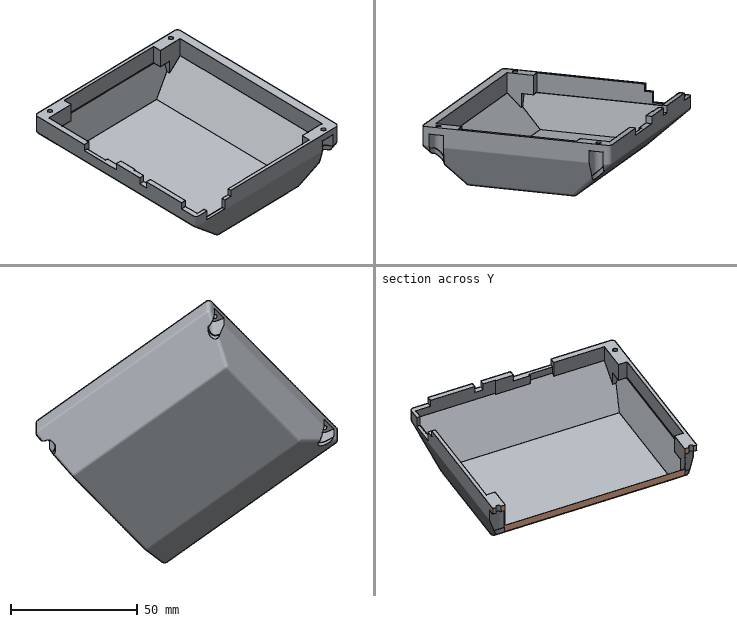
import cadquery as cq
import math

length = 90.0
width = 80.0
height = 24.0
half_length = length / 2
half_width = width / 2
rim_depth = 8.1
base_half_length = 40.0
base_half_width = 22.7
edge_radius = 1.5

floor_depth = 21.6
floor_half_length = 38.3
floor_half_width = 21.6
ledge_depth = 8.0
ledge_half_length = 43.1
side_wall = 1.5
inner_half_length = half_length - side_wall
back_wall = 4.0
front_wall = 2.5
front_wall_right = 2.2
thin_wall_start = 8.4

screw_corners = [(-1, -1), (-1, 1), (1, 1)]
block_length = 5.4
block_width = 15.0
post_width = 9.9
hole_diameter = 2.0
hole_x = 42.6
hole_y = 33.8
slot_x = 42.3
slot_radius = 2.2
slot_shell_radius = 2.3
slot_shell_height = 2.3
slot_mouth = 5.9

notch_depth = 3.0
front_notches = [(-17.3, 0.5), (13.7, 17.4), (37.0, half_length)]
side_notch_end = -20.5
deep_notch_start = -33.8
deep_notch_end = -23.85
deep_notch_depth = 7.4
recess_start = front_notches[0][0]
recess_end = -6.9


def box(x_start, x_end, y_start, y_end, depth):
    """Block between the given sides, reaching from the rim down to depth."""
    size = (x_end - x_start, y_end - y_start, depth)
    return cq.Workplane("XY").box(*size, centered=False).translate((x_start, y_start, -depth))


def symmetric_prism(plane, half_profile, half_span):
    """Extrude a profile mirrored about Z both ways from its plane."""
    mirrored = [(-u, z) for u, z in reversed(half_profile)]
    return cq.Workplane(plane).polyline(half_profile + mirrored).close().extrude(half_span, both=True)


def outer_body():
    lengthwise = [(half_length, 0), (half_length, -rim_depth), (base_half_length, -height)]
    crosswise = [(half_width, 0), (half_width, -rim_depth), (base_half_width, -height)]
    body = symmetric_prism("XZ", lengthwise, half_width)
    body = body.intersect(symmetric_prism("YZ", crosswise, half_length))
    return body.edges("not(>Z)").fillet(edge_radius)


def cavity():
    lengthwise = [
        (inner_half_length, 0),
        (inner_half_length, -ledge_depth),
        (ledge_half_length, -ledge_depth),
        (floor_half_length, -floor_depth),
    ]
    slope = (half_width - base_half_width) / (height - rim_depth)
    crosswise = [(floor_half_width + slope * floor_depth, 0), (floor_half_width, -floor_depth)]
    hollow = symmetric_prism("XZ", lengthwise, half_width)
    hollow = hollow.intersect(symmetric_prism("YZ", crosswise, half_length))

    outline = box(-half_length, thin_wall_start, front_wall - half_width, half_width - back_wall, height)
    outline = outline.union(
        box(thin_wall_start, half_length, front_wall_right - half_width, half_width - back_wall, height)
    )
    outline = outline.union(box(recess_start, recess_end, side_wall - half_width, 0, height))
    for x_sign, y_sign in screw_corners:
        outline = outline.cut(corner_block(x_sign, y_sign))
    return hollow.intersect(outline)


def corner_block(x_sign, y_sign):
    """Shallow block beside the rim with a narrower post below it."""
    x_start, x_end = sorted((x_sign * half_length, x_sign * (half_length - block_length)))
    y_edge = y_sign * half_width
    block_y = sorted((y_edge, y_edge - y_sign * block_width))
    post_y = sorted((y_edge, y_edge - y_sign * post_width))
    return box(x_start, x_end, *block_y, ledge_depth).union(box(x_start, x_end, *post_y, height))


def flared_slot(end_radius):
    """Upright slot at the +X, +Y corner with a round end and sides flaring to the side face."""
    mouth = half_length - slot_x
    half_mouth = slot_mouth / 2
    mouth_angle = math.atan2(half_mouth, mouth)
    tangent_angle = mouth_angle + math.acos(end_radius / math.hypot(mouth, half_mouth))
    tangent_x = slot_x + end_radius * math.cos(tangent_angle)
    tangent_y = end_radius * math.sin(tangent_angle)
    return (
        cq.Workplane("XY", origin=(0, hole_y, -notch_depth))
        .moveTo(half_length, half_mouth)
        .lineTo(tangent_x, tangent_y)
        .threePointArc((slot_x - end_radius, 0), (tangent_x, -tangent_y))
        .lineTo(half_length, -half_mouth)
        .close()
        .extrude(notch_depth - height)
    )


def screw_cutter():
    """Screw hole at the +X, +Y corner with the slot below it, slightly wider through the shell."""
    above_shell = symmetric_prism(
        "YZ",
        [
            (half_width, 0),
            (half_width, slot_shell_height - rim_depth),
            (base_half_width, slot_shell_height - height),
        ],
        half_length,
    )
    shell_slot = flared_slot(slot_shell_radius).cut(above_shell)
    hole = cq.Workplane("XY").center(hole_x, hole_y).circle(hole_diameter / 2).extrude(-height)
    return flared_slot(slot_radius).union(shell_slot).union(hole)


def rim_notches():
    """Cutouts through the front wall and the front end of the +X wall."""
    notch_back = front_wall - half_width
    notches = box(inner_half_length, half_length, -half_width, side_notch_end, notch_depth)
    notches = notches.union(
        box(inner_half_length, half_length, deep_notch_start, deep_notch_end, deep_notch_depth)
    )
    for x_start, x_end in front_notches:
        notches = notches.union(box(x_start, x_end, -half_width, notch_back, notch_depth))
    return notches


result = outer_body().cut(cavity()).cut(rim_notches())
for x_sign, y_sign in screw_corners:
    cutter = screw_cutter()
    if x_sign < 0:
        cutter = cutter.mirror("YZ")
    if y_sign < 0:
        cutter = cutter.mirror("XZ")
    result = result.cut(cutter)